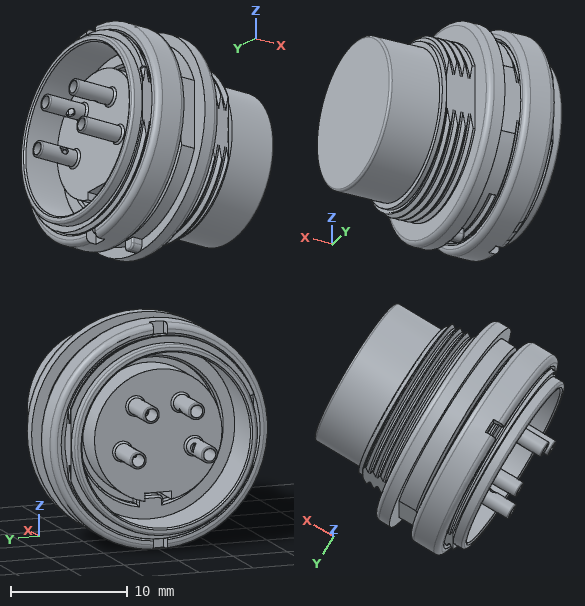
import cadquery as cq
import math

length = 17.8

rim_front = 1.8
body_front = 2.8
nut_front = 3.3
nut_rear = 6.3
flange_front = 8.28
flange_rear = 9.82
rear_thread_end = 12.58
collar_end = 13.0

rim_diameter = 16.8
body_diameter = 18.0
flange_diameter = 20.0
rear_thread_diameter = 16.0
collar_diameter = 14.8
tube_diameter = 13.8

body_flats = 16.85
rear_flats = 14.8

rim_outer_fillet = 0.2
rim_inner_chamfer = 0.15
flange_fillet = 0.5
tube_fillet = 0.2

four_turn_advance = 3.0
pitch = four_turn_advance / 4
root_width = 0.18
body_thread_depth = 0.38
rear_thread_depth = 0.4
groove_overshoot = 0.08
blank_overlength = 2.4
flank_angle = 30
flank_slope = math.tan(math.radians(flank_angle))

body_groove_start = body_front
body_groove_angle = 159.0
body_groove_turns = 5.4
rear_groove_start = 10.1
rear_groove_angle = 222.0
rear_groove_turns = 4.0

nut_bore = 17.2
nut_chamfer_diameter = 18.3
nut_fillet = 0.5
nut_slot_width = 1.3
nut_slot_depth = 1.0

tab_length = 0.98
tab_width = 1.2
tab_side_fillet = 0.5
tab_front_fillet = 0.15

cavity_diameter = 15.5
cavity_floor = 5.8
recess_diameter = 13.0
recess_depth = 1.0
recess_chamfer = 0.2
key_width = 2.45
key_top = -5.72
key_corner_radius = 0.5
insert_diameter = 11.72
insert_front = 3.9
insert_notch_top = -5.0

upper_pin = (2.08, 2.75)
lower_pin = (3.28, -1.15)
pin_diameter = 1.48
pin_base_diameter = 1.82
pin_tip_fillet = 0.1
pin_bore = 1.1
pin_bore_depth = 2.8
pin_bore_cone = 0.32
vent_diameter = 0.8
vent_position = 2.35


def cylinder(start, end, diameter, center=(0, 0)):
    """Cylinder along X between two stations, centred at (Y, Z)."""
    return cq.Workplane("YZ", origin=(start, *center)).circle(diameter / 2).extrude(end - start)


def cone(start, end, start_diameter, end_diameter, center=(0, 0)):
    """Cone along X; an end diameter of zero makes it pointed."""
    solid = cq.Solid.makeCone(
        start_diameter / 2, end_diameter / 2, end - start, cq.Vector(start, *center), cq.Vector(1, 0, 0)
    )
    return cq.Workplane(solid)


def block(start, end, width, bottom, top):
    """Block between two X stations, centred on Y."""
    plane = cq.Workplane("XY", origin=(start, 0, bottom))
    return plane.box(end - start, width, top - bottom, centered=(False, True, False))


def thread_groove(diameter, depth, start, angle, turns):
    """Right-handed helical groove about X, as a solid to cut away."""
    root = diameter / 2 - depth
    outer = diameter / 2 + groove_overshoot
    half_root = root_width / 2
    half_outer = half_root + (outer - root) * flank_slope
    helix = cq.Wire.makeHelix(pitch, pitch * turns, root)
    profile = (
        cq.Workplane("XZ")
        .polyline([(root, -half_root), (outer, -half_outer), (outer, half_outer), (root, half_root)])
        .close()
    )
    groove = profile.sweep(cq.Workplane(helix), isFrenet=True)
    groove = groove.rotate((0, 0, 0), (1, 1, 1), 120)
    return groove.rotate((0, 0, 0), (1, 0, 0), angle).translate((start, 0, 0))


def flatted_thread(start, end, diameter, flats, groove):
    """Threaded length along X with two parallel flats facing -Y and +Y."""
    blank = cylinder(start - blank_overlength, end + blank_overlength, diameter).cut(groove)
    return blank.intersect(block(start, end, flats, -diameter, diameter))


def threaded_body():
    groove = thread_groove(
        body_diameter, body_thread_depth, body_groove_start, body_groove_angle, body_groove_turns
    )
    return flatted_thread(body_front, flange_front, body_diameter, body_flats, groove)


def rear_thread():
    groove = thread_groove(
        rear_thread_diameter, rear_thread_depth, rear_groove_start, rear_groove_angle, rear_groove_turns
    )
    return flatted_thread(flange_rear, rear_thread_end, rear_thread_diameter, rear_flats, groove)


def nut():
    """Round nut with chamfered bore and two driver slots in its front face."""
    ring = cylinder(nut_front, nut_rear, flange_diameter).edges().fillet(nut_fillet)
    ring = ring.cut(cylinder(nut_front, nut_rear, nut_bore))
    chamfer = (nut_chamfer_diameter - nut_bore) / 2
    ring = ring.cut(cone(nut_front, nut_front + chamfer, nut_chamfer_diameter, nut_bore))
    ring = ring.cut(cone(nut_rear - chamfer, nut_rear, nut_bore, nut_chamfer_diameter))
    slots = block(
        nut_front, nut_front + nut_slot_depth, nut_slot_width, -flange_diameter / 2, flange_diameter / 2
    )
    return ring.cut(slots)


def locating_tab():
    front = flange_front - tab_length
    tab = block(front, flange_front, tab_width, -flange_diameter / 2, -cavity_diameter / 2)
    tab = tab.edges("|X and <Z").fillet(tab_side_fillet)
    return tab.faces("<X").edges("not >Z").fillet(tab_front_fillet)


def recess():
    """Keyed recess in the cavity floor, with a chamfered mouth."""
    floor = cavity_floor + recess_depth
    pocket = cylinder(cavity_floor, floor, recess_diameter)
    mouth = cone(
        cavity_floor, cavity_floor + recess_chamfer, recess_diameter + 2 * recess_chamfer, recess_diameter
    )
    key = block(cavity_floor, floor, key_width, -cavity_diameter / 2, key_top)
    key = key.edges("|X and >Z").fillet(key_corner_radius)
    key = key.faces("<X").edges("not <Z").chamfer(recess_chamfer)
    return pocket.union(mouth).cut(key)


def contact_insert():
    floor = cavity_floor + recess_depth
    disc = cylinder(insert_front, floor, insert_diameter)
    return disc.cut(block(insert_front, floor, key_width, -insert_diameter, insert_notch_top))


def pin(center):
    """Hollow contact with flared base and a radial vent hole facing the connector axis."""
    flare = (pin_base_diameter - pin_diameter) / 2
    post = cylinder(0, insert_front, pin_diameter, center).faces("<X").edges().fillet(pin_tip_fillet)
    post = post.union(cone(insert_front - flare, insert_front, pin_diameter, pin_base_diameter, center))
    post = post.cut(cylinder(0, pin_bore_depth, pin_bore, center))
    post = post.cut(cone(pin_bore_depth, pin_bore_depth + pin_bore_cone, pin_bore, 0, center))
    y, z = center
    vent = cq.Solid.makeCylinder(
        vent_diameter / 2, pin_diameter, cq.Vector(vent_position, y, z), cq.Vector(0, -y, -z)
    )
    return post.cut(cq.Workplane(vent))


rim = cylinder(rim_front, flange_front, rim_diameter).faces("<X").edges().fillet(rim_outer_fillet)
flange = cylinder(flange_front, flange_rear, flange_diameter).faces(">X").edges().fillet(flange_fillet)
tube = cylinder(flange_rear, length, tube_diameter).faces(">X").edges().fillet(tube_fillet)
collar = cylinder(flange_rear, collar_end, collar_diameter)

shell = rim.union(threaded_body()).union(flange).union(rear_thread()).union(collar).union(tube)
shell = shell.union(nut()).union(locating_tab())

shell = shell.cut(cylinder(rim_front, cavity_floor, cavity_diameter))
shell = shell.cut(
    cone(rim_front, rim_front + rim_inner_chamfer, cavity_diameter + 2 * rim_inner_chamfer, cavity_diameter)
)
shell = shell.cut(recess())

result = shell.union(contact_insert())
for side in (1, -1):
    for pin_y, pin_z in (upper_pin, lower_pin):
        result = result.union(pin((side * pin_y, pin_z)))